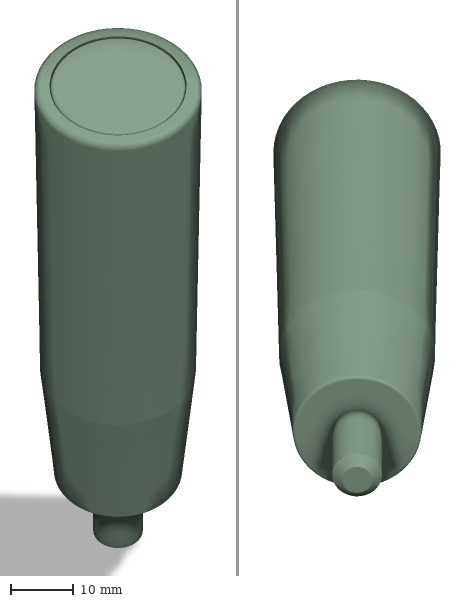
import cadquery as cq

total_height = 105.0
grip_bottom = 15.1
grip_waist = 39.2

top_radius = 27.0 / 2
waist_radius = 25.1 / 2
bottom_radius = 20.6 / 2
top_fillet = 1.0
bottom_fillet = 0.5

stud_radius = 8.0 / 2
stud_chamfer = 1.6

bore_radius = 22.0 / 2
cap_radius = 21.7 / 2
cap_fillet = 0.5
gap_depth = 1.0


def make_grip():
    """Revolve the barrel and the narrowing skirt, then round both ends."""
    profile = (
        cq.Workplane("XZ")
        .moveTo(0, grip_bottom)
        .lineTo(bottom_radius, grip_bottom)
        .lineTo(waist_radius, grip_waist)
        .lineTo(top_radius, total_height)
        .lineTo(0, total_height)
        .close()
    )
    grip = profile.revolve(360, (0, 0, 0), (0, 1, 0))
    grip = grip.faces(">Z").edges().fillet(top_fillet)
    return grip.faces("<Z").edges().fillet(bottom_fillet)


def make_top_disc(radius):
    """Disc as deep as the gap, flush with the top of the grip."""
    return cq.Workplane("XY").workplane(offset=total_height - gap_depth).circle(radius).extrude(gap_depth)


def make_cap():
    """Round cap that fills the bore flush with the top of the grip."""
    return make_top_disc(cap_radius).faces(">Z").edges().fillet(cap_fillet)


def make_stud():
    """Plain stud with a chamfered tip."""
    stud = cq.Workplane("XY").circle(stud_radius).extrude(grip_bottom)
    return stud.faces("<Z").edges().chamfer(stud_chamfer)


result = make_grip().cut(make_top_disc(bore_radius)).union(make_cap()).union(make_stud())